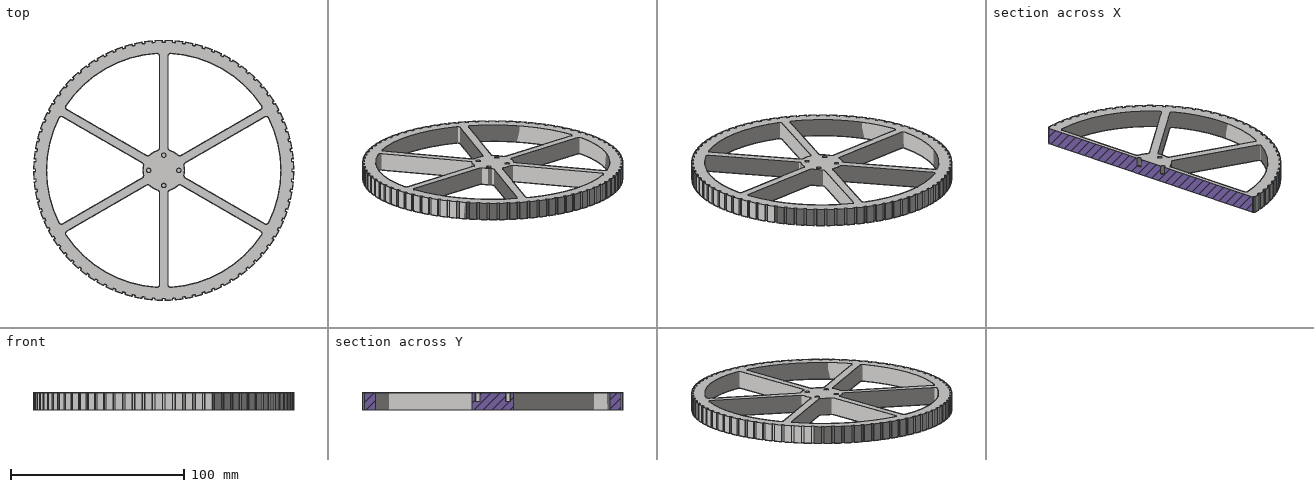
import cadquery as cq
import math

groove_count = 80
groove_width = 1.5
groove_depth = 1.0

overall_width = 150.0
outer_radius = math.hypot(overall_width / 2, groove_width / 2)
thickness = 10.0
rim_inner_radius = 67.5

spoke_count = 6
spoke_width = 5.0
hub_radius = 12.0
corner_radius = 1.5

hole_count = 4
hole_diameter = 2.5
hole_circle_radius = 8.7
hole_depth = thickness / 2


def window_point(radius, side):
    """Point on a spoke edge of the window centred on +X; side is +1 or -1."""
    half_spacing = math.pi / spoke_count
    angle = half_spacing - math.asin(spoke_width / 2 / radius)
    return (radius * math.cos(angle), side * radius * math.sin(angle))


def make_window():
    """Opening between two neighbouring spokes, with rounded corners."""
    return (
        cq.Workplane("XY")
        .moveTo(*window_point(hub_radius, -1))
        .lineTo(*window_point(rim_inner_radius, -1))
        .threePointArc((rim_inner_radius, 0), window_point(rim_inner_radius, 1))
        .lineTo(*window_point(hub_radius, 1))
        .threePointArc((hub_radius, 0), window_point(hub_radius, -1))
        .close()
        .extrude(thickness)
        .edges("|Z")
        .fillet(corner_radius)
    )


def make_grooves():
    """Cutters for the tread grooves, running past the rim so that they open outward."""
    return (
        cq.Workplane("XY")
        .polarArray(outer_radius, 0, 360, groove_count)
        .rect(2 * groove_depth, groove_width)
        .extrude(thickness)
    )


wheel = cq.Workplane("XY").circle(outer_radius).extrude(thickness)

window = make_window()
for index in range(spoke_count):
    wheel = wheel.cut(window.rotate((0, 0, 0), (0, 0, 1), 360 * index / spoke_count))

wheel = wheel.cut(make_grooves())

result = (
    wheel.faces(">Z")
    .workplane()
    .polarArray(hole_circle_radius, 0, 360, hole_count)
    .hole(hole_diameter, hole_depth)
)